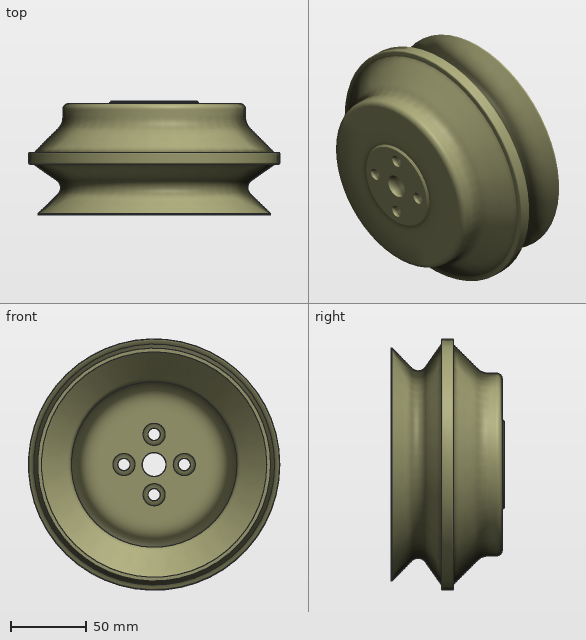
import cadquery as cq
import math


mouth_radius = 77.3
mouth_wall = 2.5
mouth_lip = 0.8
flare_angle = 45.0

throat_y = 18.0
throat_radius = 62.3
throat_fillet = 6.0
groove_angle = 55.0

throat_inner_y = 19.7
throat_inner_radius = 55.0
inner_flare_angle = 50.0

rim_radius = 83.5
rim_front_y = 33.5
rim_width = 8.0
rim_fillet = 1.0

drum_radius = 60.8
drum_back_y = 74.0
drum_front_y = 64.5
drum_edge_fillet = 4.0
drum_blend = 10.0
shoulder_angle = 45.0

floor_y = 60.1
floor_radius = 50.3
floor_fillet = 10.0
cavity_rim_fillet = 2.3

boss_radius = 29.5
boss_height = 1.5
boss_chamfer = 1.0

bore_diameter = 15.7
bolt_count = 4
bolt_circle_radius = 20.0
bolt_diameter = 8.0
counterbore_diameter = 14.7
counterbore_depth = 4.0

back_y = drum_back_y + boss_height
rim_back_y = rim_front_y + rim_width


def waist_point(waist_radius, waist_y, fillet, angle):
    """Point on a waist fillet, turned by angle (degrees) from the waist; positive is toward +Y."""
    turn = math.radians(angle)
    return (waist_radius + fillet * (1 - math.cos(turn)), waist_y + fillet * math.sin(turn))


def radius_on_cone(start, y, angle):
    """Radius at y of a cone through start that opens away from it at angle to the axis."""
    return start[0] + abs(y - start[1]) * math.tan(math.radians(angle))


def throat_arc(radius, y, front_angle, back_angle):
    """Front end, middle and back end of a rounded throat."""
    return [waist_point(radius, y, throat_fillet, turn) for turn in (-front_angle, 0, back_angle)]


def rounded_corner(before, corner, after, fillet):
    """Start, middle and end of the tangent arc that rounds the corner between two straight lines."""
    origin = cq.Vector(*corner)
    to_before = (cq.Vector(*before) - origin).normalized()
    to_after = (cq.Vector(*after) - origin).normalized()
    half_angle = to_before.getAngle(to_after) / 2
    setback = fillet / math.tan(half_angle)
    bisector = (to_before + to_after).normalized()
    points = (
        origin + to_before * setback,
        origin + bisector * (fillet / math.sin(half_angle) - fillet),
        origin + to_after * setback,
    )
    return [(point.x, point.y) for point in points]


def wheel_body():
    outer_front, outer_mid, outer_back = throat_arc(
        throat_radius, throat_y, flare_angle, groove_angle
    )
    inner_front, inner_mid, inner_back = throat_arc(
        throat_inner_radius, throat_inner_y, inner_flare_angle, groove_angle
    )

    blend_mid = waist_point(drum_radius, drum_front_y, drum_blend, -shoulder_angle / 2)
    blend_end = waist_point(drum_radius, drum_front_y, drum_blend, -shoulder_angle)

    floor_center_y = floor_y - floor_fillet
    corner_mid, corner_end = [
        (
            floor_radius + floor_fillet * math.sin(math.radians(turn)),
            floor_center_y + floor_fillet * math.cos(math.radians(turn)),
        )
        for turn in (shoulder_angle / 2, shoulder_angle)
    ]

    groove_slope = math.tan(math.radians(groove_angle))
    shoulder_slope = math.tan(math.radians(shoulder_angle))
    cavity_y = (
        corner_end[0] - inner_back[0] + shoulder_slope * corner_end[1] + groove_slope * inner_back[1]
    ) / (groove_slope + shoulder_slope)
    cavity_radius = radius_on_cone(inner_back, cavity_y, groove_angle)

    cavity_corner = (cavity_radius, cavity_y)
    cavity_start, cavity_mid, cavity_end = rounded_corner(
        corner_end, cavity_corner, inner_back, cavity_rim_fillet
    )

    rim_front_foot = (radius_on_cone(outer_back, rim_front_y, groove_angle), rim_front_y)
    rim_back_foot = (radius_on_cone(blend_end, rim_back_y, shoulder_angle), rim_back_y)
    rim_front_corner = (rim_radius, rim_front_y)
    rim_back_corner = (rim_radius, rim_back_y)
    front_edge_start, front_edge_mid, front_edge_end = rounded_corner(
        rim_front_foot, rim_front_corner, rim_back_corner, rim_fillet
    )
    back_edge_start, back_edge_mid, back_edge_end = rounded_corner(
        rim_front_corner, rim_back_corner, rim_back_foot, rim_fillet
    )
    drum_front = (drum_radius, drum_front_y)
    boss_foot = (boss_radius, drum_back_y)
    drum_edge_start, drum_edge_mid, drum_edge_end = rounded_corner(
        drum_front, (drum_radius, drum_back_y), boss_foot, drum_edge_fillet
    )

    profile = (
        cq.Workplane("XY")
        .moveTo(mouth_radius - mouth_wall, 0)
        .lineTo(mouth_radius, 0)
        .lineTo(mouth_radius, mouth_lip)
        .lineTo(*outer_front)
        .threePointArc(outer_mid, outer_back)
        .lineTo(*rim_front_foot)
        .lineTo(*front_edge_start)
        .threePointArc(front_edge_mid, front_edge_end)
        .lineTo(*back_edge_start)
        .threePointArc(back_edge_mid, back_edge_end)
        .lineTo(*rim_back_foot)
        .lineTo(*blend_end)
        .threePointArc(blend_mid, drum_front)
        .lineTo(*drum_edge_start)
        .threePointArc(drum_edge_mid, drum_edge_end)
        .lineTo(*boss_foot)
        .lineTo(boss_radius, back_y - boss_chamfer)
        .lineTo(boss_radius - boss_chamfer, back_y)
        .lineTo(0, back_y)
        .lineTo(0, floor_y)
        .lineTo(floor_radius, floor_y)
        .threePointArc(corner_mid, corner_end)
        .lineTo(*cavity_start)
        .threePointArc(cavity_mid, cavity_end)
        .lineTo(*inner_back)
        .threePointArc(inner_mid, inner_front)
        .close()
    )
    return profile.revolve(360, (0, 0, 0), (0, 1, 0))


def axial_hole(x, z, diameter, end_y):
    """Cylinder along +Y from the cavity floor to end_y."""
    return cq.Workplane(
        cq.Solid.makeCylinder(
            diameter / 2, end_y - floor_y, cq.Vector(x, floor_y, z), cq.Vector(0, 1, 0)
        )
    )


def hub_holes():
    holes = axial_hole(0, 0, bore_diameter, back_y)
    for index in range(bolt_count):
        angle = 2 * math.pi * index / bolt_count
        x = bolt_circle_radius * math.cos(angle)
        z = bolt_circle_radius * math.sin(angle)
        holes = holes.union(axial_hole(x, z, bolt_diameter, back_y))
        holes = holes.union(axial_hole(x, z, counterbore_diameter, floor_y + counterbore_depth))
    return holes


result = wheel_body().cut(hub_holes())